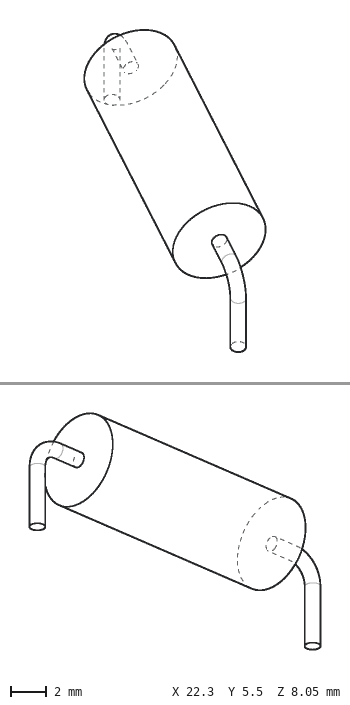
import cadquery as cq

overall_length = 22.3
overall_height = 8.05
body_diameter = 5.5
body_length = 15.0
lead_diameter = 0.9
bend_radius = 1.54

body_end = body_length / 2
lead_x = (overall_length - lead_diameter) / 2
bend_start_x = lead_x - bend_radius
lead_bottom_z = body_diameter / 2 - overall_height


def make_body():
    """Plain cylinder lying along X, centred on the origin."""
    return (
        cq.Workplane("YZ")
        .workplane(offset=-body_end)
        .circle(body_diameter / 2)
        .extrude(body_length)
    )


def make_lead(side):
    """Round wire leaving one end face and bending down; side is -1 or +1 along X."""
    centreline = (
        cq.Workplane("XZ")
        .moveTo(side * body_end, 0)
        .lineTo(side * bend_start_x, 0)
        .tangentArcPoint((side * lead_x, -bend_radius), relative=False)
        .lineTo(side * lead_x, lead_bottom_z)
    )
    return (
        cq.Workplane("YZ", origin=(side * body_end, 0, 0))
        .circle(lead_diameter / 2)
        .sweep(centreline)
    )


body = make_body()
leads = [make_lead(side) for side in (-1, 1)]

result = cq.Compound.makeCompound([body.val(), *[lead.val() for lead in leads]])